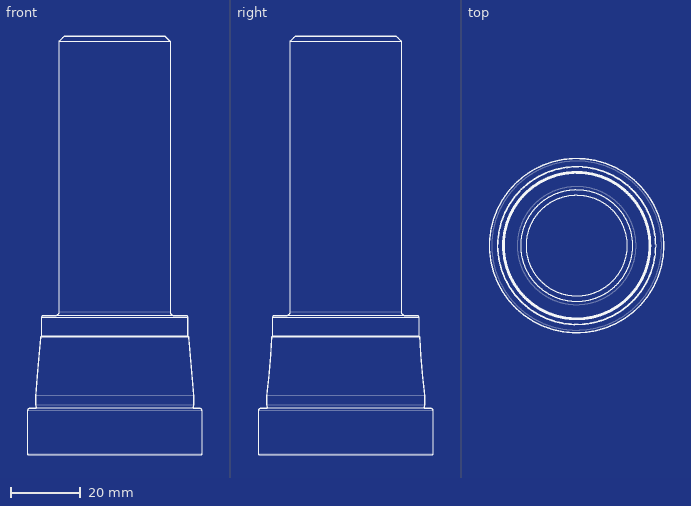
import cadquery as cq

total_height = 120.0
foot_height = 13.5
seat_top = 17.0
taper_top = 33.8
collar_top = 40.0

foot_diameter = 50.0
foot_top_round = 0.7
foot_bottom_round = 0.4

shaft_radius = 32.0 / 2
collar_radius = 42.0 / 2
neck_radius = 45.0 / 2
seat_radius = 22.7
shaft_chamfer = 1.5
shaft_root_round = 1.0
collar_chamfer_width = 0.2
collar_chamfer_height = 0.5
collar_step = 0.2
neck_height = 1.0


def make_foot():
    """Round disc under the post, with softened rims."""
    disc = cq.Workplane("XY").circle(foot_diameter / 2).extrude(foot_height)
    disc = disc.faces(">Z").edges().fillet(foot_top_round)
    return disc.faces("<Z").edges().fillet(foot_bottom_round)


def make_post():
    """Revolved post: flared neck, cylindrical seat, taper, collar and long shaft."""
    root_radius = shaft_radius + shaft_root_round
    root_top = collar_top + shaft_root_round
    diagonal_offset = shaft_root_round * (1 - 0.5 ** 0.5)
    return (
        cq.Workplane("XZ")
        .moveTo(0, foot_height)
        .lineTo(neck_radius, foot_height)
        .lineTo(seat_radius, foot_height + neck_height)
        .lineTo(seat_radius, seat_top)
        .lineTo(collar_radius + collar_step, taper_top)
        .lineTo(collar_radius, taper_top + collar_step)
        .lineTo(collar_radius, collar_top - collar_chamfer_height)
        .lineTo(collar_radius - collar_chamfer_width, collar_top)
        .lineTo(root_radius, collar_top)
        .threePointArc(
            (shaft_radius + diagonal_offset, collar_top + diagonal_offset),
            (shaft_radius, root_top),
        )
        .lineTo(shaft_radius, total_height - shaft_chamfer)
        .lineTo(shaft_radius - shaft_chamfer, total_height)
        .lineTo(0, total_height)
        .close()
        .revolve(360, (0, 0, 0), (0, 1, 0))
    )


foot = make_foot()
post = make_post()
result = cq.Compound.makeCompound([foot.val(), post.val()])